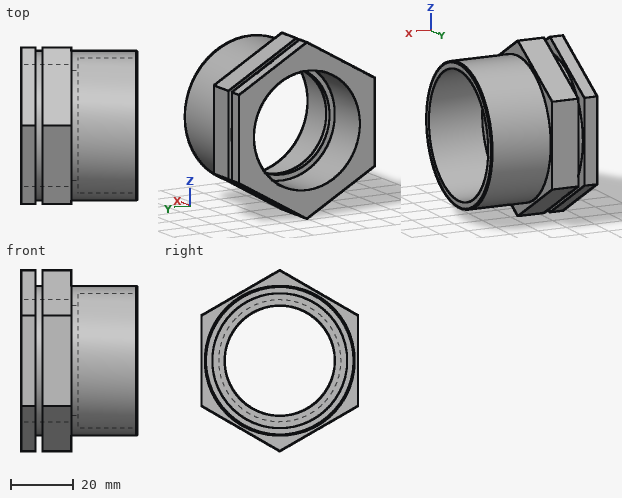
import cadquery as cq
import math

total_length = 37.0
body_diameter = 47.8
end_chamfer = 0.37

hex_sides = 6
hex_across_flats = 50.0
hex_across_corners = hex_across_flats / math.cos(math.pi / hex_sides)
corner_up_angle = 180 / hex_sides
front_hex_length = 4.6
groove_width = 2.13
rear_hex_start = front_hex_length + groove_width
rear_hex_end = 16.0

entry_bore_diameter = 38.95
land_diameter = 35.06
far_bore_diameter = 43.02
land_start = rear_hex_end
land_length = 2.1
land_end = land_start + land_length


def cylinder(start, end, diameter):
    """Solid cylinder on the X axis between two X positions."""
    return cq.Workplane("YZ", origin=(start, 0, 0)).circle(diameter / 2).extrude(end - start)


def hex_collar(start, end):
    """Hexagonal prism on the X axis with corners at +Z and -Z and flats at +Y and -Y."""
    collar = cq.Workplane("YZ", origin=(start, 0, 0))
    collar = collar.polygon(hex_sides, hex_across_corners).extrude(end - start)
    return collar.rotate((0, 0, 0), (1, 0, 0), corner_up_angle)


def outer_body():
    """Round body with a chamfered far end, joined to both hexagonal collars."""
    body = cylinder(0, total_length, body_diameter)
    body = body.faces(">X").edges().chamfer(end_chamfer)
    body = body.union(hex_collar(0, front_hex_length))
    return body.union(hex_collar(rear_hex_start, rear_hex_end))


def stepped_passage():
    """Volume removed from end to end: entry bore, land and far bore."""
    passage = cylinder(0, land_start, entry_bore_diameter)
    passage = passage.union(cylinder(land_start, land_end, land_diameter))
    return passage.union(cylinder(land_end, total_length, far_bore_diameter))


result = outer_body().cut(stepped_passage())